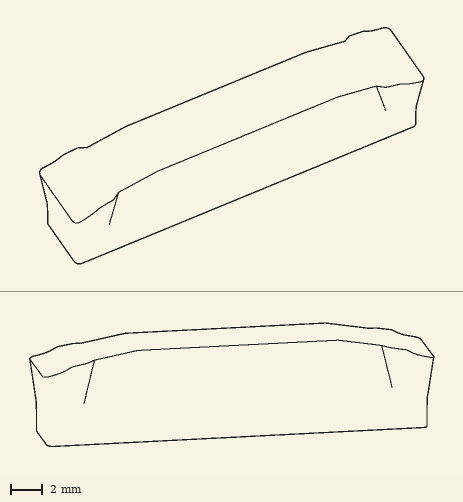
import cadquery as cq
import math

length = 24.93
height = 5.95
body_width = 4.16
half_length = length / 2
half_body = body_width / 2

tip_height = 4.59
land_depth = 0.77
land_height = 4.75
groove_depth = 1.72
ridge_depth = 1.82
ramp_depth = 6.08
ramp_angle = 10.0
crest_drop = 0.05

clearance_depth = 0.3
clearance_height = 2.25
foot_depth = 0.35
foot_height = 1.75
corner_radius = 0.37

head_half_width = 2.52
flank_draft = 0.11
flank_relief = 0.075
flare_depth = 3.32
flare_height = 5.48
flare_lean = 0.24
flare_slope = 0.65
knee_radius = 0.25
head_core = 1.25

select_margin = 0.02


def ramp_z(depth):
    """Height of the sloping top at a depth inward from the tip."""
    return height - (ramp_depth - depth) * math.tan(math.radians(ramp_angle))


def side_profile():
    """Lengthwise outline of one half, from the middle plane to the tip at -Y."""
    def at(depth, z):
        return (depth - half_length, z)

    ridge_z = ramp_z(ridge_depth)
    return (
        cq.Workplane("YZ")
        .moveTo(0, 0)
        .lineTo(*at(foot_depth, 0))
        .lineTo(*at(foot_depth, foot_height))
        .tangentArcPoint(at(clearance_depth, clearance_height), relative=False)
        .lineTo(*at(0, tip_height))
        .lineTo(*at(land_depth, land_height))
        .tangentArcPoint(at(groove_depth, ridge_z - crest_drop), relative=False)
        .lineTo(*at(ridge_depth, ridge_z))
        .lineTo(*at(ramp_depth, height))
        .lineTo(0, height)
        .close()
        .extrude(head_half_width * 2, both=True)
    )


def head_outline(z):
    """Plan outline of a head at height z; all its sides vary linearly with z."""
    front = head_half_width + flank_draft * (z - tip_height)
    flare_at_body = flare_depth + flare_lean * (z - flare_height)
    flare_at_tip = half_body + flare_slope * flare_at_body
    knee_depth = (flare_at_tip - front) / (flare_slope - flank_relief)
    knee = front - flank_relief * knee_depth
    core_depth = (flare_at_tip - head_core) / flare_slope
    right_side = [(front, 0), (knee, knee_depth), (head_core, core_depth)]
    left_side = [(-x, depth) for x, depth in reversed(right_side)]
    return [(x, depth - half_length) for x, depth in right_side + left_side]


def head_blank():
    """Tapered head before its top and end are shaped, with the flank knees rounded."""
    blank = (
        cq.Workplane("XY")
        .polyline(head_outline(0)).close()
        .workplane(offset=height)
        .polyline(head_outline(height)).close()
        .loft(ruled=True, combine=True)
    )
    knee_zone = cq.selectors.BoxSelector(
        (-length, select_margin - half_length, 0),
        (-head_core - select_margin, 0, height),
    )
    opposite_knee_zone = cq.selectors.BoxSelector(
        (head_core + select_margin, select_margin - half_length, 0),
        (length, 0, height),
    )
    return blank.edges("not #Z").edges(knee_zone + opposite_knee_zone).fillet(knee_radius)


def half_bar():
    """Half bar at -Y with its head, shaped to the side profile and rounded at the end corners."""
    body = cq.Workplane("XY").box(body_width, half_length, height, centered=(True, False, False))
    body = body.translate((0, -half_length, 0))
    bar = body.union(head_blank()).intersect(side_profile())
    corner_zone = cq.selectors.BoxSelector(
        (-length, -half_length - select_margin, select_margin),
        (length, -half_length + foot_depth + select_margin, tip_height - select_margin),
    )
    return bar.edges(corner_zone).edges("not #Z").fillet(corner_radius)


half = half_bar()
result = half.union(half.mirror("XZ"))